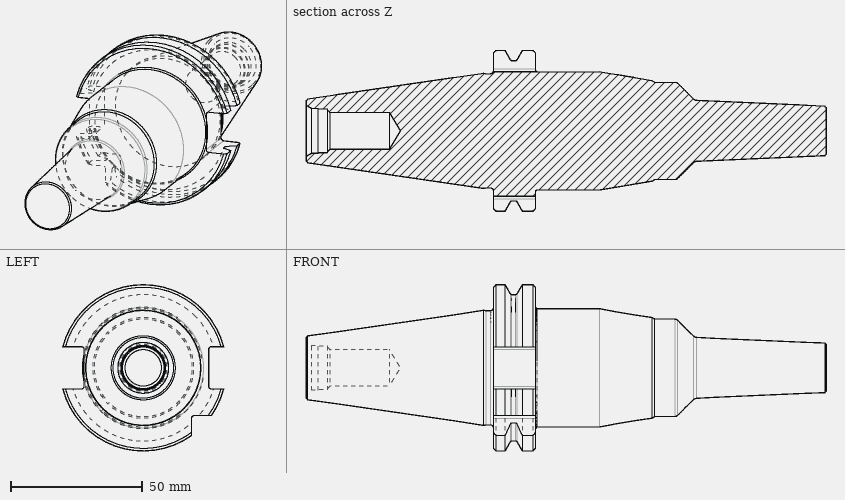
import cadquery as cq
import math

total_length = 198.2

taper_slope = 7 / 48
taper_end_x = 67.6
taper_large_radius = 22.0
taper_small_radius = taper_large_radius - taper_slope * taper_end_x
end_chamfer = 0.5

neck_start_x = 68.5
neck_radius = 21.8
neck_fillet = 1.2

flange_start_x = 71.4
flange_end_x = 87.5
flange_radius = 31.7
flange_chamfer = 1.0

groove_angle = 60.0
groove_centre_x = 79.1
groove_floor_radius = 28.0
groove_mouth_width = 6.5
groove_depth = flange_radius - groove_floor_radius
groove_floor_width = groove_mouth_width - 2 * groove_depth * math.tan(math.radians(groove_angle / 2))
groove_floor_fillet = 0.5

slot_width = 16.0
slot_floor_front = 25.0
slot_floor_back = 22.6
slot_fillet = 1.0
notch_y = 18.5
notch_z = 18.2

body_radius = 22.6
body_root_fillet = 0.5
body_end_x = 111.8
body_taper_end_x = 131.8
body_taper_end_radius = 19.2
collar_start_x = 132.8
collar_radius = 18.6
shoulder_end_x = 148.0
collar_fillet = 1.5
nose_root_radius = 11.7
nose_root_fillet = 1.5
nose_tip_radius = 9.5
nose_chamfer = 0.5

mouth_radius = 9.7
mouth_angle = 60.0
counterbore_radius = 8.5
counterbore_depth = 4.5
recess_radius = 8.3
recess_depth = 8.1
thread_major_radius = 8.0
thread_minor_radius = 7.0
bore_depth = 31.7
drill_point_angle = 118.0


def revolve_about_x(points):
    """Solid of revolution about X from (x, radius) points; the seam lies on the -Y side."""
    profile = [(x, -radius) for x, radius in points]
    return cq.Workplane("XY").polyline(profile).close().revolve(360, (0, 0, 0), (1, 0, 0))


def fillet_rim(solid, x, radius, fillet_radius):
    """Round the circular edge of the given radius that lies in the plane at x."""
    slack = 0.02
    rim = cq.selectors.BoxSelector(
        (x - slack, -radius - slack, -radius - slack),
        (x + slack, radius + slack, radius + slack),
        boundingbox=True,
    )
    inside = cq.selectors.BoxSelector(
        (x - slack, -radius + slack, -radius + slack),
        (x + slack, radius - slack, radius - slack),
        boundingbox=True,
    )
    return solid.edges(rim - inside).fillet(fillet_radius)


def holder_body():
    groove_floor_start_x = groove_centre_x - groove_floor_width / 2
    groove_floor_end_x = groove_centre_x + groove_floor_width / 2
    shoulder_start_x = shoulder_end_x - (collar_radius - nose_root_radius)
    body = revolve_about_x([
        (0, 0),
        (0, taper_small_radius - end_chamfer),
        (end_chamfer, taper_small_radius + end_chamfer * taper_slope),
        (taper_end_x, taper_large_radius),
        (neck_start_x, neck_radius),
        (flange_start_x, neck_radius),
        (flange_start_x, flange_radius - flange_chamfer),
        (flange_start_x + flange_chamfer, flange_radius),
        (groove_centre_x - groove_mouth_width / 2, flange_radius),
        (groove_floor_start_x, groove_floor_radius),
        (groove_floor_end_x, groove_floor_radius),
        (groove_centre_x + groove_mouth_width / 2, flange_radius),
        (flange_end_x - flange_chamfer, flange_radius),
        (flange_end_x, flange_radius - flange_chamfer),
        (flange_end_x, body_radius),
        (body_end_x, body_radius),
        (body_taper_end_x, body_taper_end_radius),
        (collar_start_x, collar_radius),
        (shoulder_start_x, collar_radius),
        (shoulder_end_x, nose_root_radius),
        (total_length - nose_chamfer, nose_tip_radius),
        (total_length, nose_tip_radius - nose_chamfer),
        (total_length, 0),
    ])
    rounded_rims = [
        (flange_start_x, neck_radius, neck_fillet),
        (groove_floor_start_x, groove_floor_radius, groove_floor_fillet),
        (groove_floor_end_x, groove_floor_radius, groove_floor_fillet),
        (flange_end_x, body_radius, body_root_fillet),
        (shoulder_start_x, collar_radius, collar_fillet),
        (shoulder_end_x, nose_root_radius, nose_root_fillet),
    ]
    for x, radius, fillet_radius in rounded_rims:
        body = fillet_rim(body, x, radius, fillet_radius)
    return body


def flange_cutter(y_inner, y_outer, z_low, z_high):
    """Block through the flange thickness, with rounded edges along its inner floor."""
    return (
        cq.Workplane("XY")
        .box(flange_end_x - flange_start_x, abs(y_outer - y_inner), z_high - z_low)
        .edges("|X and >Y" if y_outer < y_inner else "|X and <Y")
        .fillet(slot_fillet)
        .translate(((flange_start_x + flange_end_x) / 2, (y_inner + y_outer) / 2, (z_low + z_high) / 2))
    )


def pull_stud_bore():
    mouth_depth = (mouth_radius - counterbore_radius) / math.tan(math.radians(mouth_angle / 2))
    thread_lead_depth = recess_depth + thread_major_radius - thread_minor_radius
    point_depth = thread_minor_radius / math.tan(math.radians(drill_point_angle / 2))
    return revolve_about_x([
        (0, 0),
        (0, mouth_radius),
        (mouth_depth, counterbore_radius),
        (counterbore_depth, counterbore_radius),
        (counterbore_depth, recess_radius),
        (recess_depth, recess_radius),
        (recess_depth, thread_major_radius),
        (thread_lead_depth, thread_minor_radius),
        (bore_depth, thread_minor_radius),
        (bore_depth + point_depth, 0),
    ])


front_slot = flange_cutter(-slot_floor_front, -flange_radius, -slot_width / 2, slot_width / 2)
back_slot = flange_cutter(slot_floor_back, flange_radius, -slot_width / 2, slot_width / 2)
notch = flange_cutter(-notch_y, -flange_radius, -flange_radius, -notch_z)

result = holder_body().cut(front_slot).cut(back_slot).cut(notch).cut(pull_stud_bore())